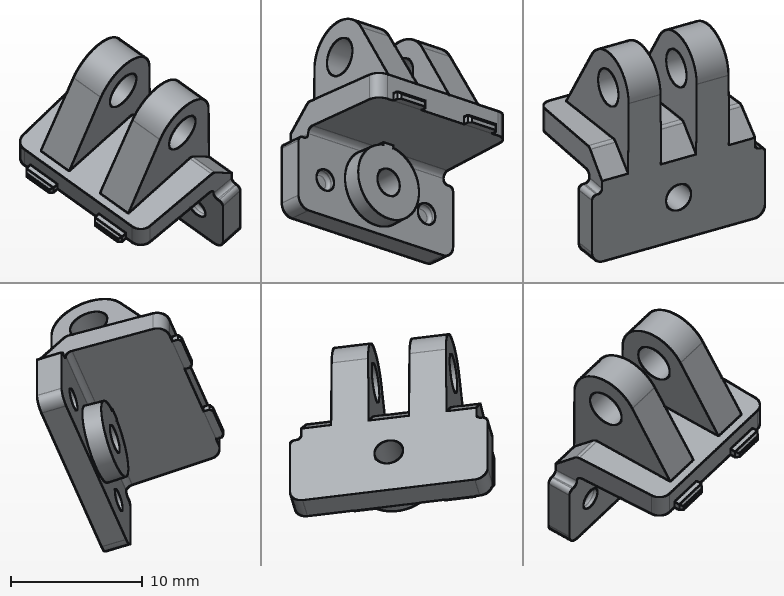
import cadquery as cq
import math

OVERLAP = 0.16

plate_width = 15.28
plate_thickness = 2.0
plate_corner_radius = 0.99
ear_top = 5.91
ear_radius = 0.4

shelf_back_width = 13.52
shelf_front_width = 12.85
shelf_depth = 9.9
shelf_top = 8.95
shelf_bottom_back = 6.84
shelf_bottom_front = 6.92
shelf_corner_radius = 0.99
back_chamfer = 2.0
back_chamfer_blend = 0.5
inner_corner_radius = 0.5

boss_center_z = 3.68
boss_base_radius = 3.05
boss_face_radius = 3.0
boss_face_depth = 3.5
bore_radius = 1.1
neck_width = 0.99

dimple_offset_x = 5.0
dimple_center_z = 2.97
dimple_radius = 0.86
dimple_floor_radius = 0.58
dimple_depth = 0.64

total_height = 15.98
lug_offset_x = 3.0
lug_radius = 3.0
lug_hole_radius = 1.5
lug_base_width = 2.91
lug_top_width = 2.78
lug_toe_y = -9.19
lug_center_y = -lug_radius
lug_center_z = total_height - lug_radius

tab_offset_x = 3.48
tab_width = 2.76
tab_top = 7.55
tab_tip_depth = 10.6
tab_chamfer = 0.22


def make_plate():
    """Lower plate with rounded bottom corners; its ends stand out as side ears."""
    return (
        cq.Workplane("XY", origin=(0, -plate_thickness, 0))
        .box(plate_width, plate_thickness, ear_top, centered=(True, False, False))
        .edges("|Y and <Z")
        .fillet(plate_corner_radius)
    )


def make_shelf():
    """Shelf and its root on the plate, tapering toward the front, chamfered at the upper back."""
    profile = (
        cq.Workplane("YZ")
        .polyline([
            (0, ear_top - OVERLAP),
            (-plate_thickness, ear_top - OVERLAP),
            (-plate_thickness, shelf_bottom_back),
            (-shelf_depth, shelf_bottom_front),
            (-shelf_depth, shelf_top),
            (-back_chamfer, shelf_top),
            (0, shelf_top - back_chamfer),
        ])
        .close()
        .extrude(shelf_back_width / 2, both=True)
    )
    blend_edge = cq.selectors.NearestToPointSelector((0, -back_chamfer, shelf_top))
    profile = profile.edges("|X").edges(blend_edge).fillet(back_chamfer_blend)
    half_back = shelf_back_width / 2
    half_front = shelf_front_width / 2
    outline = (
        cq.Workplane("XY")
        .polyline([
            (-half_back, 0),
            (half_back, 0),
            (half_front, -shelf_depth),
            (-half_front, -shelf_depth),
        ])
        .close()
        .extrude(total_height)
        .edges("|Z and <Y")
        .fillet(shelf_corner_radius)
    )
    return profile.intersect(outline)


def make_boss():
    """Slightly conical boss, joined to the shelf by a narrow neck."""
    cone = (
        cq.Workplane("XZ", origin=(0, -plate_thickness, boss_center_z))
        .circle(boss_base_radius)
        .workplane(offset=boss_face_depth - plate_thickness)
        .circle(boss_face_radius)
        .loft()
    )
    neck = (
        cq.Workplane("XY", origin=(0, -boss_face_depth, boss_center_z))
        .box(neck_width, boss_face_depth - plate_thickness,
             shelf_bottom_front - boss_center_z + OVERLAP, centered=(True, False, False))
    )
    return cone.union(neck)


def make_lug(center_x):
    """Hinge lug: rounded top, sloping front and sides that draw in toward the top."""
    toe_dy = lug_toe_y - lug_center_y
    toe_dz = shelf_top - lug_center_z
    toe_angle = math.atan2(toe_dz, toe_dy)
    tangent_angle = toe_angle - math.acos(lug_radius / math.hypot(toe_dy, toe_dz))
    tangent_point = (
        lug_center_y + lug_radius * math.cos(tangent_angle),
        lug_center_z + lug_radius * math.sin(tangent_angle),
    )
    root_z = shelf_top - back_chamfer
    side = (
        cq.Workplane("YZ")
        .moveTo(0, root_z)
        .lineTo(0, lug_center_z)
        .threePointArc((lug_center_y, total_height), tangent_point)
        .lineTo(lug_toe_y, shelf_top)
        .lineTo(lug_toe_y, shelf_top - OVERLAP)
        .lineTo(-back_chamfer, shelf_top - OVERLAP)
        .lineTo(-back_chamfer, root_z)
        .close()
        .extrude(lug_base_width, both=True)
    )
    draft = (
        cq.Workplane("XZ")
        .polyline([
            (-lug_base_width / 2, root_z),
            (lug_base_width / 2, root_z),
            (lug_top_width / 2, total_height),
            (-lug_top_width / 2, total_height),
        ])
        .close()
        .extrude(shelf_depth)
    )
    hole = (
        cq.Workplane("YZ")
        .center(lug_center_y, lug_center_z)
        .circle(lug_hole_radius)
        .extrude(lug_base_width, both=True)
    )
    return side.intersect(draft).cut(hole).translate((center_x, 0, 0))


def make_tab(center_x):
    """Small tab on the shelf front, chamfered around the top and sides of its tip."""
    tab = (
        cq.Workplane("XY", origin=(center_x, -tab_tip_depth, shelf_bottom_front))
        .box(tab_width, tab_tip_depth - shelf_depth + OVERLAP, tab_top - shelf_bottom_front,
             centered=(True, False, False))
    )
    return tab.faces("<Y").edges("not <Z").chamfer(tab_chamfer)


def make_dimple(center_x):
    """Round recess whose wall curves in to a smaller flat floor."""
    wall_radius = dimple_radius - dimple_floor_radius
    return (
        cq.Workplane("XZ", origin=(center_x, -plate_thickness + dimple_depth, dimple_center_z))
        .circle(dimple_radius)
        .extrude(dimple_depth)
        .faces(">Y")
        .edges()
        .fillet(wall_radius)
    )


result = make_plate().union(make_shelf())
ear_corners = cq.selectors.BoxSelector(
    (-plate_width, -plate_thickness, ear_top - OVERLAP / 2),
    (plate_width, 0, ear_top + OVERLAP / 2),
)
result = result.edges("not(|X or |Z)").edges(ear_corners).fillet(ear_radius)
inner_corner = cq.selectors.NearestToPointSelector((0, -plate_thickness, shelf_bottom_back))
result = result.edges(inner_corner).fillet(inner_corner_radius)

bore = (
    cq.Workplane("XZ", origin=(0, 0, boss_center_z))
    .circle(bore_radius)
    .extrude(boss_face_depth)
)
result = result.union(make_boss()).cut(bore)

for side_sign in (-1, 1):
    result = result.union(make_lug(side_sign * lug_offset_x))
    result = result.union(make_tab(side_sign * tab_offset_x))
    result = result.cut(make_dimple(side_sign * dimple_offset_x))